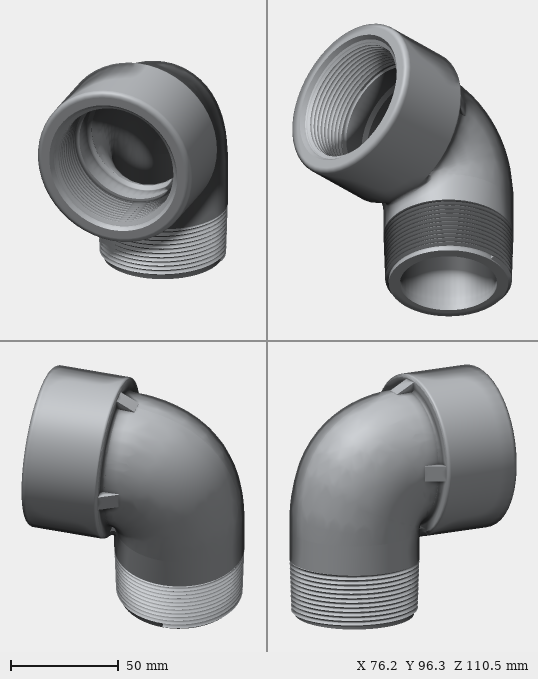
import cadquery as cq
import math


spigot_radius = 60.45 / 2
spigot_bore_radius = 45.21 / 2
spigot_end_z = -72.39
spigot_thread_length = 26.6

socket_radius = 76.2 / 2
socket_mouth_y = -66.045
socket_back_y = -29.2
socket_mouth_fillet = 2.5
socket_back_fillet = 1.5
socket_thread_depth = 25.0
socket_neck_radius = 52.32 / 2
socket_neck_end_radius = 24.4
neck_taper_y = -31.0
mouth_chamfer_radius = 31.7
mouth_chamfer_end_radius = spigot_radius
mouth_chamfer_depth = 2.0
mouth_runout_depth = 1.4

thread_pitch = 25.4 / 11.5
thread_root_radius = 27.75
thread_height = 1.62
thread_taper = 1 / 32
spigot_thread_start = 1.5
socket_thread_start = 0
socket_thread_turn = 125
thread_embed = 0.3
flank_half_angle = 30.0

pivot_y = -30.5
pivot_z = -31.6
bend_end_radius = 31.5
bend_fullness = 2.4
bend_sections = 5
neck_fillet = 1.6
weld_fillet = 1.6

gusset_width = 7.2
gusset_start_y = -20.6
gusset_inner_radius = 28.0
gusset_start_radius = 31.4
gusset_end_radius = 36.0


def cylinder_z(radius, z_low, z_high):
    return cq.Workplane("XY").workplane(offset=z_low).circle(radius).extrude(z_high - z_low)


def tapered_thread(length, start):
    """Threaded cone standing on Z = 0, small end down, its ridge beginning at height start."""
    core = cq.Workplane("XY").add(
        cq.Solid.makeCone(thread_root_radius, thread_root_radius + length * thread_taper, length)
    )
    half_base = (thread_height + thread_embed) * math.tan(math.radians(flank_half_angle))
    root_radius = thread_root_radius + start * thread_taper
    inner_radius = root_radius - thread_embed
    helix_length = length + half_base - start
    helix_angle = math.degrees(math.atan(thread_taper))
    helix = cq.Wire.makeHelix(thread_pitch, helix_length, root_radius, angle=helix_angle)
    ridge = (
        cq.Workplane("XZ")
        .moveTo(inner_radius, -half_base)
        .lineTo(root_radius + thread_height, 0)
        .lineTo(inner_radius, half_base)
        .close()
        .sweep(cq.Workplane("XY").add(helix), isFrenet=True)
        .translate((0, 0, start))
        .intersect(cylinder_z(spigot_radius + thread_height, 0, length))
    )
    return core.union(ridge)


def bend(start_radius, end_radius):
    """Solid quarter bend; its outer side follows a slightly full quarter ellipse."""
    reach_y = start_radius - pivot_y
    reach_z = end_radius - pivot_z
    start_gap = -start_radius - pivot_y
    end_gap = -end_radius - pivot_z
    wires = []
    for step in range(bend_sections):
        fraction = step / (bend_sections - 1)
        angle = fraction * math.pi / 2
        along_y = math.cos(angle)
        along_z = math.sin(angle)
        outer = (
            (along_y / reach_y) ** bend_fullness + (along_z / reach_z) ** bend_fullness
        ) ** (-1 / bend_fullness)
        inner = start_gap + (end_gap - start_gap) * fraction
        middle = (outer + inner) / 2
        half_width = start_radius + (end_radius - start_radius) * fraction
        plane = cq.Plane(
            origin=(0, pivot_y + middle * along_y, pivot_z + middle * along_z),
            xDir=(0, along_y, along_z),
            normal=(0, -along_z, along_y),
        )
        section = cq.Workplane(plane).ellipse((outer - inner) / 2, half_width)
        wires.append(section.val())
    return cq.Workplane("XY").add(cq.Solid.makeLoft(wires))


def socket_body():
    length = socket_back_y - socket_mouth_y
    return (
        cq.Workplane("XZ", origin=(0, socket_back_y, 0))
        .circle(socket_radius)
        .extrude(length)
        .faces("<Y")
        .edges()
        .fillet(socket_mouth_fillet)
        .faces(">Y")
        .edges()
        .fillet(socket_back_fillet)
    )


def neck_flare():
    """Ring with a concave fillet between the bend and the back face of the socket."""
    edge_y = socket_back_y + neck_fillet
    edge_radius = bend_end_radius + neck_fillet
    sag = neck_fillet * (1 - math.sqrt(0.5))
    return (
        cq.Workplane("XY")
        .moveTo(0, socket_back_y - neck_fillet)
        .lineTo(edge_radius, socket_back_y - neck_fillet)
        .lineTo(edge_radius, socket_back_y)
        .threePointArc((bend_end_radius + sag, socket_back_y + sag), (bend_end_radius, edge_y))
        .lineTo(0, edge_y)
        .close()
        .revolve(360, (0, 0, 0), (0, 1, 0))
    )


def gusset():
    """Sloped rib on the +Z side, running under the back face of the socket."""
    return (
        cq.Workplane("YZ")
        .moveTo(gusset_start_y, gusset_inner_radius)
        .lineTo(gusset_start_y, gusset_start_radius)
        .lineTo(socket_back_y, gusset_end_radius)
        .lineTo(socket_back_y - socket_back_fillet, gusset_end_radius)
        .lineTo(socket_back_y - socket_back_fillet, gusset_inner_radius)
        .close()
        .extrude(gusset_width / 2, both=True)
    )


def socket_cavity():
    """Mouth chamfer, runout cone, tapered thread and plain neck, all about the Y axis."""
    thread_end_y = socket_mouth_y + socket_thread_depth
    thread = (
        tapered_thread(socket_thread_depth, socket_thread_start)
        .rotate((0, 0, 0), (0, 0, 1), socket_thread_turn)
        .rotate((0, 0, 0), (1, 0, 0), 90)
        .translate((0, thread_end_y, 0))
    )
    chamfer_y = socket_mouth_y + mouth_chamfer_depth
    plain = (
        cq.Workplane("XY")
        .moveTo(0, socket_mouth_y)
        .lineTo(mouth_chamfer_radius, socket_mouth_y)
        .lineTo(mouth_chamfer_end_radius, chamfer_y)
        .lineTo(thread_root_radius, chamfer_y + mouth_runout_depth)
        .lineTo(socket_neck_radius, chamfer_y + mouth_runout_depth)
        .lineTo(socket_neck_radius, neck_taper_y)
        .lineTo(socket_neck_end_radius, socket_back_y)
        .lineTo(0, socket_back_y)
        .close()
        .revolve(360, (0, 0, 0), (0, 1, 0))
    )
    return thread.union(plain)


thread_top_z = spigot_end_z + spigot_thread_length

body = cylinder_z(spigot_radius, thread_top_z, pivot_z).union(socket_body())
weld_zone = cq.selectors.BoxSelector(
    (-spigot_radius / 2, -spigot_radius - weld_fillet, -socket_radius - weld_fillet),
    (spigot_radius / 2, socket_back_y + weld_fillet, pivot_z),
)
body = body.edges(weld_zone).fillet(weld_fillet)

body = body.union(bend(spigot_radius, bend_end_radius)).union(neck_flare())
for gusset_angle in (-90, 0, 90):
    body = body.union(gusset().rotate((0, 0, 0), (0, 1, 0), gusset_angle))

spigot_thread = tapered_thread(spigot_thread_length, spigot_thread_start)
body = body.union(spigot_thread.translate((0, 0, spigot_end_z)))

body = body.cut(bend(spigot_bore_radius, socket_neck_end_radius))
body = body.cut(cylinder_z(spigot_bore_radius, spigot_end_z, pivot_z))
result = body.cut(socket_cavity())